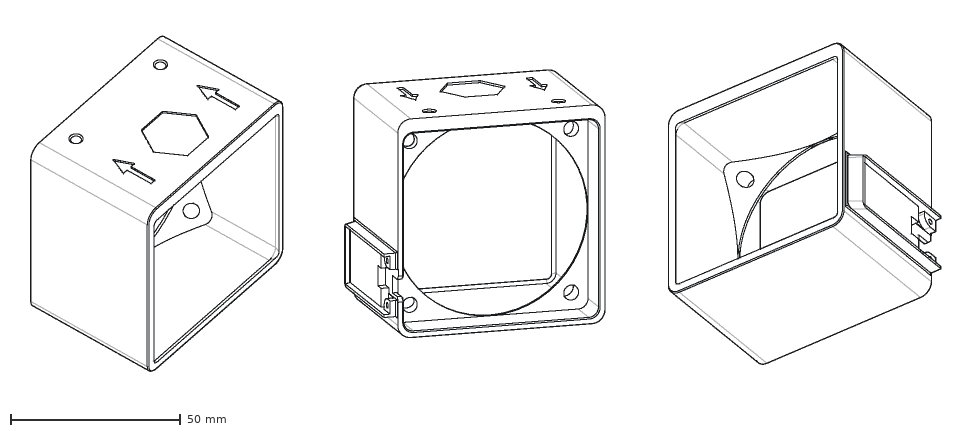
import cadquery as cq

length = 44.4
body_width = 64.1
body_height = 66.7
wall = 1.9
outer_radius = 4.0
inner_radius = 3.0
inner_size = body_width - 2 * wall
fan_z = wall + inner_size / 2
side_y = body_width / 2
inner_y = inner_size / 2
mouth_chamfer = 0.4
rear_chamfer = 0.35

lip_length = 1.5
lip_bottom = 0.95
lip_minus_y = 0.95
lip_top = 0.55
lip_plus_y = 0.2
outlet_radius = 1.35
outlet_width = inner_size - lip_plus_y - lip_minus_y
outlet_height = inner_size - lip_top - lip_bottom
outlet_y = (lip_minus_y - lip_plus_y) / 2
outlet_z = fan_z + (lip_bottom - lip_top) / 2

flange_x = 10.9
flange_thickness = 0.8
corner_depth = 8.2
corner_slope = 1.5
bore_diameter = 60.2
fan_hole_diameter = 4.6
fan_hole_spacing = 49.9

insert_diameter = 3.2
insert_chamfer = 0.5
insert_x = 7.5
insert_y = 20.0
engraving_depth = 0.6
arrow_tip_x = 21.4
arrow_head_length = 6.15
arrow_length = 15.2
arrow_half_head = 2.65
arrow_half_shaft = 0.95
hexagon_x = 29.0
hexagon_diameter = 20.1

channel_start = 0.8
channel_end_outer = 40.1
channel_end_inner = 43.0
channel_width = 19.4
channel_reach = 4.1
channel_floor = 2.2
channel_rim = 0.9
channel_z = 16.2
recess_width = channel_width - 2 * channel_rim
channel_flare = 0.4
channel_end_wall = 0.9
channel_foot_ramp = 0.35
channel_corner_radius = 1.7
cable_entry_width = 9.55
cavity_length = 9.55
entry_recess = 0.2
cable_slot_width = 6.15
cable_slot_length = 3.4
pad_diameter = 6.2

wall_notch_length = 6.15
wall_notch_height = 5.25
wall_notch_z = 15.1
wall_notch_flare = 1.35
screw_diameter = 1.6
screw_x = 3.55
screw_spacing = 13.6


def rounded_square(size, radius):
    return cq.Sketch().rect(size, size).vertices().fillet(radius)


def cross_plane(x):
    """Plane across the duct on the fan axis; its local axes are Y and Z."""
    return cq.Workplane("YZ", origin=(x, 0, fan_z))


def make_shell():
    body = cq.Workplane("YZ", origin=(0, 0, body_height / 2)).rect(body_width, body_height).extrude(length)
    body = body.edges("|X").fillet(outer_radius).faces(">X").chamfer(rear_chamfer)

    lip_x = length - lip_length
    inlet = rounded_square(inner_size, inner_radius)
    outlet = cq.Sketch().rect(outlet_width, outlet_height).vertices().fillet(outlet_radius)
    outlet_shift = cq.Location(cq.Vector(outlet_y, outlet_z - fan_z, lip_length))
    cavity = cross_plane(0).placeSketch(inlet).extrude(lip_x)
    lip = cross_plane(lip_x).placeSketch(inlet, outlet.moved(outlet_shift)).loft()

    mouth = rounded_square(inner_size + 2 * mouth_chamfer, inner_radius + mouth_chamfer)
    mouth_rim = cross_plane(0).placeSketch(mouth).extrude(mouth_chamfer, taper=45)
    return body.cut(cavity).cut(lip).cut(mouth_rim)


def make_flange():
    """Fan flange: thin at the bore, with a conical back that thickens toward the screw holes."""
    depth = flange_thickness + corner_depth
    overlap = wall / 2
    plate = rounded_square(inner_size + 2 * overlap, inner_radius + overlap)
    flange = cross_plane(flange_x).placeSketch(plate).extrude(depth)
    bore = cross_plane(flange_x).circle(bore_diameter / 2).extrude(depth)
    holes = (
        cross_plane(flange_x)
        .rect(fan_hole_spacing, fan_hole_spacing, forConstruction=True)
        .vertices()
        .circle(fan_hole_diameter / 2)
        .extrude(depth)
    )
    cone = (
        cross_plane(flange_x + flange_thickness)
        .circle(bore_diameter / 2)
        .workplane(offset=corner_depth)
        .circle(bore_diameter / 2 + corner_depth * corner_slope)
        .loft()
    )
    return flange.cut(bore).cut(holes).cut(cone)


def make_insert_hole(y):
    top = cq.Workplane("XY", origin=(insert_x, y, body_height))
    top_wall = body_height - fan_z - inner_size / 2
    hole = top.circle(insert_diameter / 2).extrude(-top_wall)
    rim = top.circle(insert_diameter / 2 + insert_chamfer).extrude(-insert_chamfer, taper=45)
    return hole.union(rim)


def make_arrow(y):
    head_x = arrow_head_length
    outline = [
        (0, 0),
        (head_x, arrow_half_head),
        (head_x, arrow_half_shaft),
        (arrow_length, arrow_half_shaft),
        (arrow_length, -arrow_half_shaft),
        (head_x, -arrow_half_shaft),
        (head_x, -arrow_half_head),
    ]
    top = cq.Workplane("XY", origin=(arrow_tip_x, y, body_height))
    return top.polyline(outline).close().extrude(-engraving_depth)


def make_hexagon():
    top = cq.Workplane("XY", origin=(hexagon_x, 0, body_height))
    return top.transformed(rotate=(0, 0, 90)).polygon(6, hexagon_diameter).extrude(-engraving_depth)


def make_channel():
    """Open-topped channel on a flared foot, with a sloped and rounded end."""
    outline = [
        (channel_start, side_y - wall / 2),
        (channel_start, side_y + channel_reach),
        (channel_end_outer, side_y + channel_reach),
        (channel_end_inner, side_y),
        (channel_end_inner, side_y - wall / 2),
    ]
    base = cq.Workplane("XY", origin=(0, 0, channel_z - channel_width / 2))
    block = base.polyline(outline).close().extrude(channel_width)
    block = block.edges("not(|X or |Y or |Z)").fillet(channel_corner_radius)
    foot_length = channel_end_inner - channel_start
    foot_x = (channel_end_inner + channel_start) / 2
    foot = (
        cq.Workplane("XZ", origin=(foot_x, side_y, channel_z))
        .rect(foot_length + 2 * channel_flare, channel_width + 2 * channel_flare)
        .extrude(-channel_flare, taper=45)
    )
    return block.union(foot)


def make_channel_recess():
    floor_y = side_y + channel_floor
    top_y = side_y + channel_reach
    end_slope = (channel_end_inner - channel_end_outer) / channel_reach
    foot_x = channel_end_inner - end_slope * channel_floor - channel_end_wall
    outline = [
        (0, floor_y),
        (foot_x - channel_foot_ramp, floor_y),
        (foot_x - end_slope * channel_foot_ramp, floor_y + channel_foot_ramp),
        (foot_x - end_slope * (top_y - floor_y), top_y),
        (0, top_y),
    ]
    base = cq.Workplane("XY", origin=(0, 0, channel_z - recess_width / 2))
    return base.polyline(outline).close().extrude(recess_width)


def make_screw_pad(side):
    """Pad around one screw, rounded at its rear corner beside the cable; side is -1 or 1."""
    pad_length = screw_x + pad_diameter / 2
    height = (recess_width - cable_entry_width) / 2
    pad_z = channel_z + side * (recess_width - height) / 2
    pad = (
        cq.Workplane("XZ", origin=(pad_length / 2, side_y + channel_floor, pad_z))
        .rect(pad_length, height)
        .extrude(channel_floor)
    )
    cable_side = "<Z" if side > 0 else ">Z"
    return pad.faces(">X").edges(cable_side).fillet(pad_diameter / 2)


def make_cable_entry():
    """Cavity behind the fan face with a cable slot at its rear, leaving two screw pads."""
    face = cq.Workplane("XZ", origin=(0, side_y + channel_floor, channel_z))
    cut_depth = channel_floor + entry_recess
    entry = face.rect(2 * cavity_length, cable_entry_width).extrude(cut_depth)
    slot = face.rect(2 * (cavity_length + cable_slot_length), cable_slot_width).extrude(cut_depth)
    cavity = face.rect(2 * cavity_length, recess_width).extrude(channel_floor)
    for side in (-1, 1):
        cavity = cavity.cut(make_screw_pad(side))
    return entry.union(slot).union(cavity)


def wall_notch_outline(y, half):
    """Notch outline in the plane at y, flared at the fan face and running past it."""
    flare_half = half + wall_notch_flare + mouth_chamfer
    outline = [
        (-mouth_chamfer, -flare_half),
        (wall_notch_flare, -half),
        (wall_notch_length, -half),
        (wall_notch_length, half),
        (wall_notch_flare, half),
        (-mouth_chamfer, flare_half),
    ]
    return cq.Workplane("XZ", origin=(0, y, wall_notch_z)).polyline(outline).close()


def make_wall_notch():
    half = wall_notch_height / 2
    notch = wall_notch_outline(side_y, half).extrude(wall)
    inner_chamfer = wall_notch_outline(inner_y, half + mouth_chamfer).extrude(-mouth_chamfer, taper=45)
    return notch.union(inner_chamfer)


def make_screw_hole(z):
    depth = wall + channel_floor
    face = cq.Workplane("XZ", origin=(screw_x, side_y + channel_floor, z))
    return face.circle(screw_diameter / 2).extrude(depth)


result = make_shell().union(make_flange()).union(make_channel())
for y in (-insert_y, insert_y):
    result = result.cut(make_insert_hole(y)).cut(make_arrow(y))
result = result.cut(make_hexagon())
result = result.cut(make_channel_recess()).cut(make_cable_entry()).cut(make_wall_notch())
for z in (channel_z - screw_spacing / 2, channel_z + screw_spacing / 2):
    result = result.cut(make_screw_hole(z))